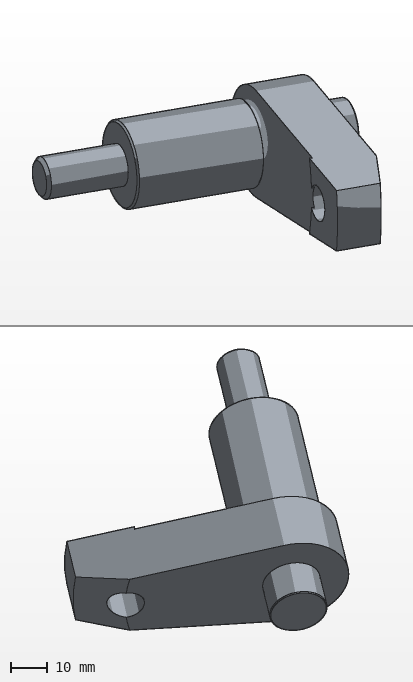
import cadquery as cq
import math


pin_diameter = 12.0
pin_length = 23.9
pin_chamfer = 1.0
body_diameter = 25.0
body_chamfer = 0.55
groove_width = 2.5
groove_depth = 1.0
knob_diameter = 16.0
knob_chamfer = 0.3
total_length = 92.0

hub_radius = 16.0
arm_front = 63.9
arm_back = 81.1
tip_radius = 59.9
tip_half_height = 9.0
pad_inner_radius = 41.95
pad_height = 0.8
hole_diameter = 10.1
hole_distance = 46.0
bevel_start_radius = 46.3
bevel_depth = 5.0


def cylinder(diameter, start, end):
    """Cylinder on the pivot axis between two Y positions."""
    profile = cq.Workplane("XZ", origin=(0, start, 0)).circle(diameter / 2)
    return profile.extrude(start - end)


def make_pin_and_body():
    pin = cylinder(pin_diameter, 0, pin_length).faces("<Y").chamfer(pin_chamfer)
    body = cylinder(body_diameter, pin_length, arm_front).faces("<Y").chamfer(body_chamfer)

    body_radius = body_diameter / 2
    groove_start = arm_front - groove_width
    groove = (
        cq.Workplane("XY")
        .moveTo(body_radius, groove_start)
        .threePointArc(
            (body_radius - groove_depth, arm_front - groove_width / 2),
            (body_radius, arm_front),
        )
        .close()
        .revolve(360, (0, 0, 0), (0, 1, 0))
    )
    return pin.union(body.cut(groove))


def make_knob():
    knob = cylinder(knob_diameter, arm_back, total_length)
    return knob.faces(">Y").chamfer(knob_chamfer)


def make_arm():
    tip_corner_x = math.sqrt(tip_radius**2 - tip_half_height**2)
    tangent_angle = math.acos(hub_radius / tip_radius) + math.asin(tip_half_height / tip_radius)
    tangent_x = hub_radius * math.cos(tangent_angle)
    tangent_z = hub_radius * math.sin(tangent_angle)
    pad_front = arm_front - pad_height

    arm = (
        cq.Workplane("XZ", origin=(0, pad_front, 0))
        .moveTo(tangent_x, tangent_z)
        .lineTo(tip_corner_x, tip_half_height)
        .threePointArc((tip_radius, 0), (tip_corner_x, -tip_half_height))
        .lineTo(tangent_x, -tangent_z)
        .threePointArc((-hub_radius, 0), (tangent_x, tangent_z))
        .close()
        .extrude(pad_front - arm_back)
    )

    arm = arm.cut(cylinder(2 * pad_inner_radius, pad_front, arm_front))

    bevel = (
        cq.Workplane("XY")
        .moveTo(bevel_start_radius, arm_back)
        .lineTo(tip_radius, arm_back - bevel_depth)
        .lineTo(tip_radius, arm_back)
        .close()
        .revolve(360, (0, 0, 0), (0, 1, 0))
    )
    hole = cylinder(hole_diameter, pad_front, arm_back).translate((hole_distance, 0, 0))
    return arm.cut(bevel).cut(hole)


result = make_arm().union(make_pin_and_body()).union(make_knob())